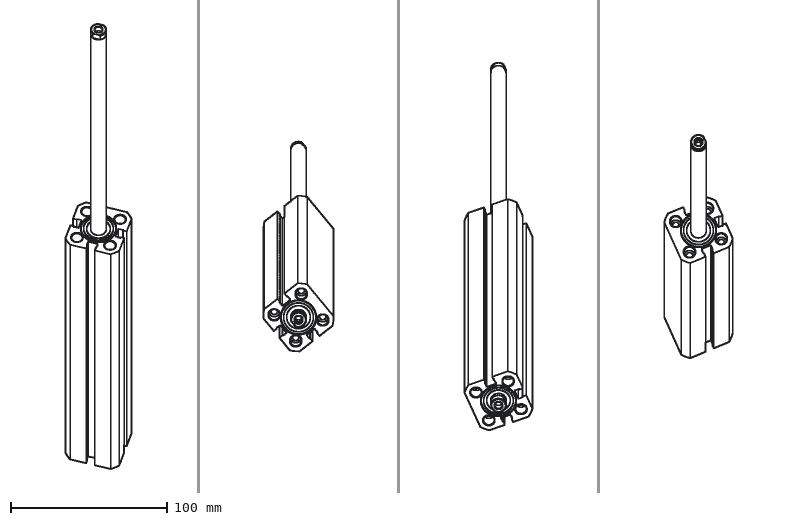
import cadquery as cq

housing_width = 36.0
housing_length = 222.0
corner_circle_diameter = 45.0
bore_diameter = 22.0
bore_chamfer = 0.5

slot_mouth_width = 5.5
slot_inner_width = 6.5
slot_lip = 2.5
slot_depth = 5.5
slot_side_angles = (0, 90, 270)

mounting_pitch = 22.0
mounting_through_diameter = 4.12
mounting_end_diameter = 7.0
mounting_end_depth = 8.5
mounting_chamfer = 0.5

cap_length = 13.0
cap_recess_diameter = 19.0
cap_inner_recess_diameter = 15.0
cap_recess_step = 0.5

overall_length = 434.0
bottom_protrusion = 6.0
rod_diameter = 10.0
tip_length = 4.5
tip_chamfer = 0.5
tip_flats_width = 8.5
end_hole_diameter = 4.8
end_hole_depth = 8.5
end_hole_chamfer = 0.5

housing_half_width = housing_width / 2
housing_middle = housing_length / 2
rod_system_bottom = -bottom_protrusion
rod_system_top = rod_system_bottom + overall_length
rod_system_middle = (rod_system_bottom + rod_system_top) / 2


def cylinder(diameter, bottom, top):
    return cq.Workplane("XY").workplane(offset=bottom).circle(diameter / 2).extrude(top - bottom)


def mirrored_in_z(body, middle):
    """Mirror image of a body about the horizontal plane at height `middle`."""
    return body.mirror("XY").translate((0, 0, 2 * middle))


def slot_cutter():
    """T-slot of the -Y side: a mouth with a wider channel behind the lips."""
    channel_depth = slot_depth - slot_lip
    channel_center = -housing_half_width + slot_lip + channel_depth / 2
    mouth = (
        cq.Workplane("XY")
        .center(0, -housing_half_width + slot_depth / 2)
        .rect(slot_mouth_width, slot_depth)
        .extrude(housing_length)
    )
    channel = (
        cq.Workplane("XY")
        .center(0, channel_center)
        .rect(slot_inner_width, channel_depth)
        .extrude(housing_length)
    )
    return mouth.union(channel)


def mounting_hole_cutter():
    """Through hole on the Z axis with a wider, chamfered stretch at each end."""
    through = cylinder(mounting_through_diameter, 0, housing_length)
    top_end = cylinder(mounting_end_diameter, housing_length - mounting_end_depth, housing_length)
    countersink = (
        cq.Workplane("XY")
        .workplane(offset=housing_length - mounting_chamfer)
        .circle(mounting_end_diameter / 2)
        .workplane(offset=mounting_chamfer)
        .circle(mounting_end_diameter / 2 + mounting_chamfer)
        .loft()
    )
    top_end = top_end.union(countersink)
    return through.union(top_end).union(mirrored_in_z(top_end, housing_middle))


def make_housing():
    housing = cq.Workplane("XY").rect(housing_width, housing_width).extrude(housing_length)
    housing = housing.intersect(cylinder(corner_circle_diameter, 0, housing_length))

    housing = housing.cut(cylinder(bore_diameter, 0, housing_length))
    housing = housing.edges(cq.selectors.RadiusNthSelector(0)).chamfer(bore_chamfer)

    slot = slot_cutter()
    for angle in slot_side_angles:
        housing = housing.cut(slot.rotate((0, 0, 0), (0, 0, 1), angle))

    mounting_hole = mounting_hole_cutter()
    for x in (-mounting_pitch / 2, mounting_pitch / 2):
        for y in (-mounting_pitch / 2, mounting_pitch / 2):
            housing = housing.cut(mounting_hole.translate((x, y, 0)))
    return housing


def make_top_cap():
    """Bearing ring that fills the bore around the rod, with a two-step recess in its outer face."""
    outer_floor = housing_length - cap_recess_step
    inner_floor = outer_floor - cap_recess_step
    cap = cylinder(bore_diameter, housing_length - cap_length, housing_length)
    cap = cap.cut(cylinder(cap_recess_diameter, outer_floor, housing_length))
    cap = cap.cut(cylinder(cap_inner_recess_diameter, inner_floor, housing_length))
    return cap.cut(cylinder(rod_diameter, 0, housing_length))


def make_rod():
    """Plain rod between the tips; the end holes run on into it."""
    rod = cylinder(rod_diameter, rod_system_bottom + tip_length, rod_system_top - tip_length)
    top_hole = cylinder(end_hole_diameter, rod_system_top - end_hole_depth, rod_system_top)
    return rod.cut(top_hole).cut(mirrored_in_z(top_hole, rod_system_middle))


def make_top_tip():
    """Rod tip with wrench flats facing -Y and +Y and a chamfered central hole."""
    tip_bottom = rod_system_top - tip_length
    tip = cylinder(rod_diameter, tip_bottom, rod_system_top).faces(">Z").chamfer(tip_chamfer)
    between_flats = (
        cq.Workplane("XY")
        .workplane(offset=tip_bottom)
        .rect(rod_diameter, tip_flats_width)
        .extrude(tip_length)
    )
    tip = tip.intersect(between_flats)
    tip = tip.cut(cylinder(end_hole_diameter, tip_bottom, rod_system_top))
    hole_rim = tip.faces(">Z").edges(cq.selectors.RadiusNthSelector(0))
    return hole_rim.chamfer(end_hole_chamfer)


housing = make_housing()
rod = make_rod()

top_cap = make_top_cap()
caps = [top_cap, mirrored_in_z(top_cap, housing_middle)]

top_tip = make_top_tip()
tips = [top_tip, mirrored_in_z(top_tip, rod_system_middle)]

result = cq.Compound.makeCompound([body.val() for body in (housing, rod, *caps, *tips)])